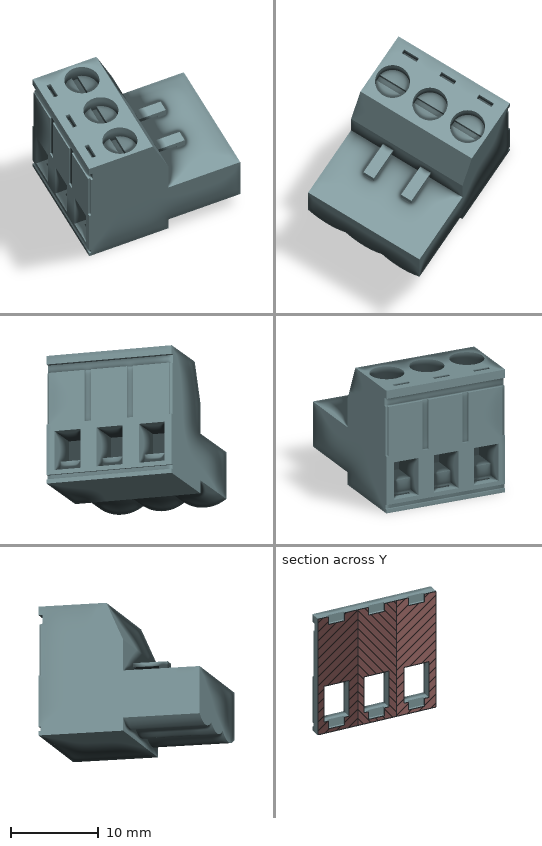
import cadquery as cq


POLE_PITCH = 5.07
TOTAL_WIDTH = 15.07
TOTAL_LENGTH = 19.0
HEIGHT = 15.0
POLE_COUNT = 3
POLE_STARTS = [0, POLE_PITCH, TOTAL_WIDTH - POLE_PITCH]
POLE_ENDS = [POLE_PITCH, TOTAL_WIDTH - POLE_PITCH, TOTAL_WIDTH]
FEATURE_CENTER = 2.5

BODY_DEPTH = 9.98
SLOPE_DEPTH = 1.98
SLOPE_BOTTOM = 10.6
STEP = 1.0
TOP_GROOVE_DEPTH = 0.5
BOTTOM_GROOVE_BASE = 0.5
FACE_RELIEF = 0.25

PLUG_TOP = 7.01
PLUG_SIDE_BOTTOM = 1.52
PLUG_BOTTOM = 0.72

PAD_WIDTH = 4.33
PAD_CENTER = 2.43
PAD_BOTTOM = 6.95
PAD_TOP = HEIGHT - 2 * STEP

ENTRY_WIDTH = 3.1
ENTRY_BOTTOM = 1.52
ENTRY_TOP = 6.08
ENTRY_DEPTH = 2.0
ENTRY_STEP_TOP = 2.96
ENTRY_FULL_DEPTH = 5.0

SLOT_LENGTH = 2.0
SLOT_WIDTH = 0.51
SLOT_FRONT = 1.0
SLOT_DEPTH = 1.0

SCREW_RADIUS = 2.0
SCREW_Y = 5.0
SCREW_RECESS = 1.5
SCREW_HEAD_HEIGHT = 1.0
DRIVE_WIDTH = 0.75
DRIVE_DEPTH = 0.5

LATCH_WIDTH = 1.4
LATCH_CENTER = 4.98
LATCH_LENGTH = 4.08
LATCH_TOP = 8.74
LATCH_THICKNESS = 0.5
HOOK_LENGTH = 1.0
HOOK_HEIGHT = 0.8


def box(x_start, x_end, y_start, y_end, z_start, z_end):
    """A block between two opposite corners."""
    size = (x_end - x_start, y_end - y_start, z_end - z_start)
    return cq.Workplane("XY").box(*size, centered=False).translate((x_start, y_start, z_start))


def centered_box(x_center, width, y_start, y_end, z_start, z_end):
    """A block of the given width, centred on x_center."""
    return box(x_center - width / 2, x_center + width / 2, y_start, y_end, z_start, z_end)


def make_shell(x_start, x_end):
    """The terminal block of one pole, with a sloped rear top edge and two grooves in the front."""
    profile = [
        (0, 0),
        (BODY_DEPTH, 0),
        (BODY_DEPTH, SLOPE_BOTTOM),
        (BODY_DEPTH - SLOPE_DEPTH, HEIGHT),
        (0, HEIGHT),
        (0, HEIGHT - STEP),
        (TOP_GROOVE_DEPTH, HEIGHT - STEP),
        (TOP_GROOVE_DEPTH, PAD_TOP),
        (0, PAD_TOP),
        (0, STEP),
        (FACE_RELIEF, STEP),
        (FACE_RELIEF, BOTTOM_GROOVE_BASE),
        (0, BOTTOM_GROOVE_BASE),
    ]
    shell = cq.Workplane("YZ").polyline(profile).close().extrude(x_end - x_start)
    return shell.translate((x_start, 0, 0))


def make_plug(x_start, x_end):
    """The plug of one pole, with an underside that bulges down in one arc."""
    return (
        cq.Workplane("XZ", origin=(0, BODY_DEPTH, 0))
        .moveTo(x_start, PLUG_TOP)
        .lineTo(x_start, PLUG_SIDE_BOTTOM)
        .threePointArc(((x_start + x_end) / 2, PLUG_BOTTOM), (x_end, PLUG_SIDE_BOTTOM))
        .lineTo(x_end, PLUG_TOP)
        .close()
        .extrude(BODY_DEPTH - TOTAL_LENGTH)
    )


def make_pad_relief(x_start, x_end, pad_center):
    """Shallow cuts at both sides of the front face that leave the pad standing between them."""
    left = box(x_start, pad_center - PAD_WIDTH / 2, 0, FACE_RELIEF, PAD_BOTTOM, PAD_TOP)
    right = box(pad_center + PAD_WIDTH / 2, x_end, 0, FACE_RELIEF, PAD_BOTTOM, PAD_TOP)
    return left.union(right)


def make_wire_entry(x_center):
    """The wire opening, deeper above a step at its back."""
    lower = centered_box(x_center, ENTRY_WIDTH, 0, ENTRY_DEPTH, ENTRY_BOTTOM, ENTRY_TOP)
    upper = centered_box(x_center, ENTRY_WIDTH, 0, ENTRY_FULL_DEPTH, ENTRY_STEP_TOP, ENTRY_TOP)
    return lower.union(upper)


def make_slot(x_center, z_top):
    """A narrow slot sunk below z_top."""
    return centered_box(
        x_center, SLOT_LENGTH, SLOT_FRONT, SLOT_FRONT + SLOT_WIDTH, z_top - SLOT_DEPTH, z_top
    )


def make_screw_hole(x_center):
    """The recess that holds the screw head at its bottom."""
    depth = SCREW_RECESS + SCREW_HEAD_HEIGHT
    return (
        cq.Workplane("XY", origin=(x_center, SCREW_Y, HEIGHT - depth))
        .circle(SCREW_RADIUS)
        .extrude(depth)
    )


def make_latch(x_center):
    """A thin arm with a hook under its free end."""
    tip = BODY_DEPTH + LATCH_LENGTH
    arm = centered_box(
        x_center, LATCH_WIDTH, BODY_DEPTH, tip, LATCH_TOP - LATCH_THICKNESS, LATCH_TOP
    )
    hook = centered_box(
        x_center, LATCH_WIDTH, tip - HOOK_LENGTH, tip, LATCH_TOP - HOOK_HEIGHT, LATCH_TOP
    )
    return arm.union(hook)


def make_screw(x_center):
    """A slotted screw head that fills the bottom of the recess."""
    head_top = HEIGHT - SCREW_RECESS
    head = (
        cq.Workplane("XY", origin=(x_center, SCREW_Y, head_top - SCREW_HEAD_HEIGHT))
        .circle(SCREW_RADIUS)
        .extrude(SCREW_HEAD_HEIGHT)
    )
    drive = centered_box(
        x_center,
        2 * SCREW_RADIUS,
        SCREW_Y - DRIVE_WIDTH / 2,
        SCREW_Y + DRIVE_WIDTH / 2,
        head_top - DRIVE_DEPTH,
        head_top,
    )
    return head.cut(drive)


def make_housing(index):
    """One pole: terminal block and plug in one piece, with all its openings."""
    x_start = POLE_STARTS[index]
    x_end = POLE_ENDS[index]
    offset = index * POLE_PITCH
    center = FEATURE_CENTER + offset
    return (
        make_shell(x_start, x_end)
        .union(make_plug(x_start, x_end))
        .cut(make_pad_relief(x_start, x_end, PAD_CENTER + offset))
        .cut(make_wire_entry(center))
        .cut(make_slot(center, HEIGHT))
        .cut(make_slot(center, ENTRY_BOTTOM))
        .cut(make_screw_hole(center))
    )


housings = [make_housing(index) for index in range(POLE_COUNT)]
screws = [make_screw(FEATURE_CENTER + index * POLE_PITCH) for index in range(POLE_COUNT)]
latches = [make_latch(LATCH_CENTER + index * POLE_PITCH) for index in range(POLE_COUNT - 1)]

result = cq.Compound.makeCompound([body.val() for body in housings + screws + latches])